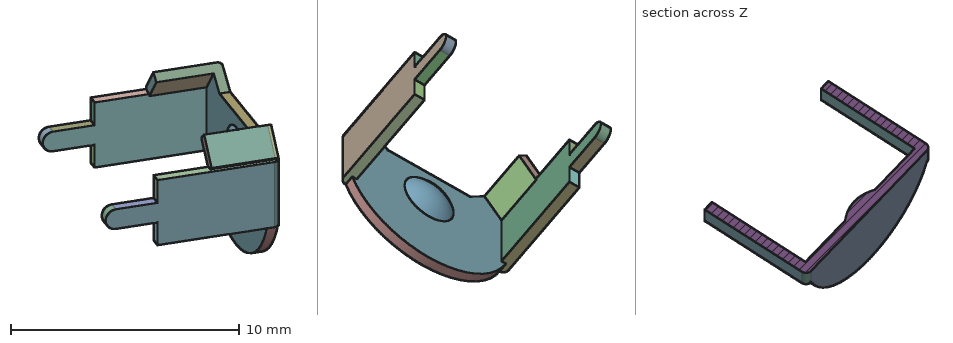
import cadquery as cq
import math

width = 8.79
depth = 8.12
plate_thickness = 0.508
plate_radius = width / 2
plate_back = plate_thickness

top_edge_z = 1.94
top_edge_half_width = 2.19

wall_thickness = 0.535
wall_height = 3.17
wall_depth = 5.71
wall_inner_x = width / 2 - wall_thickness
pin_width = 0.96
wall_bend_radius = 0.28

tab_tilt = 40.0
tab_length = 1.53
tab_thickness = 0.5
tab_depth = 3.17
tab_top_z = 2.895
tab_bend_radius = 0.22

dome_radius = 1.305
dome_height = 0.47

tilt = math.radians(tab_tilt)
outward = (math.cos(tilt), math.sin(tilt))
downward = (math.sin(tilt), -math.cos(tilt))

shoulder_rise = tab_top_z - top_edge_z
tab_top = (top_edge_half_width + shoulder_rise / math.tan(tilt), tab_top_z)


def move(point, direction, distance):
    """Point reached by going a distance along a direction in the XZ plane."""
    return (point[0] + direction[0] * distance, point[1] + direction[1] * distance)


def mirrored(point):
    """Matching point on the left-hand side."""
    return (-point[0], point[1])


tab_low = move(tab_top, downward, tab_length)
tab_inner_top = move(tab_top, outward, -tab_thickness)
tab_inner_low = move(tab_low, outward, -tab_thickness)


def make_tab():
    """Right-hand tab, from the back of the plate forward, with its bend rounded."""
    tab = (
        cq.Workplane("XZ", origin=(0, plate_back, 0))
        .polyline([tab_top, tab_low, tab_inner_low, tab_inner_top])
        .close()
        .extrude(tab_depth)
    )
    outer_corner = cq.selectors.NearestToPointSelector(
        ((tab_top[0] + tab_low[0]) / 2, plate_back, (tab_top[1] + tab_low[1]) / 2)
    )
    return tab.edges(outer_corner).fillet(tab_bend_radius)


def make_wall():
    """Right-hand wall with its pin, rounded along the outer bend."""
    wall_end = plate_back - wall_depth
    wall = cq.Workplane("XY").box(
        wall_thickness, wall_depth, wall_height, centered=(False, False, True)
    )
    wall = wall.translate((wall_inner_x, wall_end, 0))
    wall = wall.edges(">X and >Y").fillet(wall_bend_radius)

    pin_tip = plate_back - depth
    half_pin = pin_width / 2
    pin = (
        cq.Workplane("YZ", origin=(wall_inner_x, 0, 0))
        .moveTo(wall_end, half_pin)
        .lineTo(pin_tip + half_pin, half_pin)
        .threePointArc((pin_tip, 0), (pin_tip + half_pin, -half_pin))
        .lineTo(wall_end, -half_pin)
        .close()
        .extrude(wall_thickness)
    )
    return wall.union(pin)


def make_plate():
    """Flat plate that reaches to the inner faces of the walls and tabs, with a round bottom."""
    arc_start_z = -wall_height / 2
    arc_start = (math.sqrt(plate_radius**2 - arc_start_z**2), arc_start_z)
    right_side = [
        (top_edge_half_width, top_edge_z),
        tab_inner_top,
        tab_inner_low,
        (wall_inner_x, tab_inner_low[1]),
        (wall_inner_x, arc_start_z),
        arc_start,
    ]
    left_side = [mirrored(point) for point in reversed(right_side)]
    return (
        cq.Workplane("XZ", origin=(0, plate_back, 0))
        .polyline(right_side)
        .threePointArc((0, -plate_radius), left_side[0])
        .polyline(left_side, includeCurrent=False)
        .close()
        .extrude(plate_thickness)
    )


def make_dome():
    """Spherical cap that bulges forward from the front face of the plate."""
    sphere_radius = (dome_radius**2 + dome_height**2) / (2 * dome_height)
    sphere = cq.Workplane("XY").sphere(sphere_radius)
    sphere = sphere.translate((0, sphere_radius - dome_height, 0))
    front_half_space = cq.Workplane("XZ").rect(width, width).extrude(depth)
    return sphere.intersect(front_half_space)


right_bends = make_wall().union(make_tab())
left_bends = right_bends.mirror("YZ")
result = make_plate().union(right_bends).union(left_bends).union(make_dome())